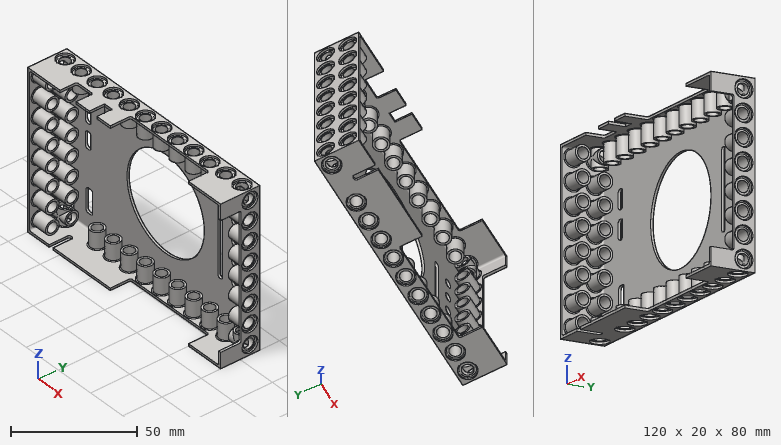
import cadquery as cq

length = 120.0
columns = 12
rows = 8
pitch = length / columns
depth = 2 * pitch
height = rows * pitch
wall = 1.2
inner_fillet = 1.0

tube_outer = 7.0
tube_bore = 5.0
tube_reach = 9.2
recess_diameter = 8.0
recess_depth = 1.0

window_diameter = 48.0
window_x = 62.9
small_hole_diameter = 4.0
small_hole_x = 106.0
small_hole_rows = range(2, 6)
plate_slots = [
    (13.0, 52.3, 3.2, 8.5, 1.5, 1.0),
    (13.0, 39.8, 3.2, 8.5, 1.5, 1.0),
    (13.3, 8.9, 4.1, 12.1, 1.5, 1.0),
    (95.5, 22.5, 2.5, 34.9, 1.0, 1.0),
]

notch_depth = 10.5
notch_radius = 1.0
wide_notch_left = 51.4
wide_notch_right = 10 * pitch
side_lip = 8.0
round_notch_left = 20.2
round_notch_width = pitch
round_notch_depth = 8.5
square_notch_left = 38.4
square_notch_width = 4.7
square_notch_depth = 7.7
bottom_slot_left = 13.3
bottom_slot_width = 2.5

back_row_y = 1.5 * pitch
front_row_y = 0.5 * pitch
RIGHT = cq.Vector(1, 0, 0)
BACK = cq.Vector(0, 1, 0)
UP = cq.Vector(0, 0, 1)


def grid(index):
    """Centre of a grid cell along X or Z."""
    return (index + 0.5) * pitch


def box(x, y, z, dx, dy, dz):
    return cq.Workplane("XY").box(dx, dy, dz, centered=False).translate((x, y, z))


def rod(start, direction, diameter, reach):
    return cq.Workplane(cq.Solid.makeCylinder(diameter / 2, reach, start, direction))


def tray():
    outer = box(0, 0, 0, length, depth, height)
    inner = box(wall, -wall, wall, length - 2 * wall, depth, height - 2 * wall)
    inner = inner.edges("|Y or >Y").fillet(inner_fillet)
    return outer.cut(inner)


def plate_openings():
    cutter = rod(cq.Vector(window_x, 0, height / 2), BACK, window_diameter, depth)
    for row in small_hole_rows:
        cutter = cutter.add(rod(cq.Vector(small_hole_x, 0, grid(row)), BACK, small_hole_diameter, depth))
    for slot in plate_slots:
        cutter = cutter.add(rounded_slot(*slot))
    return cutter


def rounded_slot(left, bottom, width, tall, left_radius, right_radius):
    slot = box(left, pitch, bottom, width, pitch, tall)
    return slot.edges("|Y and <X").fillet(left_radius).edges("|Y and >X").fillet(right_radius)


def wall_notch(left, width, cut_depth, z):
    """Notch through a horizontal wall, open to the front edge."""
    return box(left, -wall, z, width, cut_depth + wall, wall)


def round_inner_corners(notch, axis):
    return notch.edges(f"|{axis} and >Y").fillet(notch_radius)


def wall_notches():
    top = height - wall
    wide_width = wide_notch_right - wide_notch_left
    side = box(length - wall, -wall, side_lip, wall, notch_depth + wall, height - 2 * side_lip)
    notches = round_inner_corners(side, "X")
    for left, width, cut_depth, z in [
        (wide_notch_left, wide_width, notch_depth, 0),
        (wide_notch_left, wide_width, notch_depth, top),
        (bottom_slot_left, bottom_slot_width, notch_depth, 0),
        (round_notch_left, round_notch_width, round_notch_depth, top),
    ]:
        notches = notches.add(round_inner_corners(wall_notch(left, width, cut_depth, z), "Z"))
    return notches.add(wall_notch(square_notch_left, square_notch_width, square_notch_depth, top))


def tube_positions():
    """Start point on the outer face and inward direction of every tube."""
    places = []
    for row in range(rows):
        z = grid(row)
        places.append((cq.Vector(0, back_row_y, z), RIGHT))
        places.append((cq.Vector(0, front_row_y, z), RIGHT))
        places.append((cq.Vector(length, back_row_y, z), -RIGHT))
    for column in range(columns):
        x = grid(column)
        places.append((cq.Vector(x, back_row_y, height), -UP))
        if column != 1:
            places.append((cq.Vector(x, back_row_y, 0), UP))
    return places


def posts():
    """Solid cylinders that become tubes once they are bored."""
    solids = cq.Workplane()
    for start, inward in tube_positions():
        recess_floor = start + inward * recess_depth
        solids = solids.add(rod(recess_floor, inward, tube_outer, tube_reach - recess_depth))
    return solids


def recesses_and_bores():
    """Bores run the full tube length, so crossing tubes open into each other in the corners."""
    cutter = cq.Workplane()
    for start, inward in tube_positions():
        cutter = cutter.add(rod(start, inward, recess_diameter, recess_depth))
        cutter = cutter.add(rod(start, inward, tube_bore, tube_reach))
    return cutter


def cut_all(body, cutter):
    return cq.Workplane(body.val().cut(*cutter.vals()))


body = cut_all(tray(), plate_openings())
body = cut_all(body, wall_notches())
body = cq.Workplane(body.val().fuse(*posts().vals()))
result = cut_all(body, recesses_and_bores())